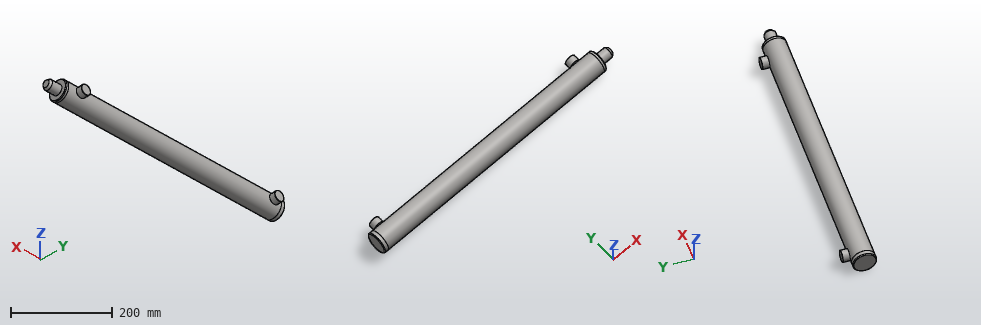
import cadquery as cq

total_length = 630.0
barrel_diameter = 50.0
total_depth = 65.0
rod_extension = 31.5
body_length = total_length - rod_extension

cap_length = 10.0
gland_length = 7.0
end_chamfer = 2.0

rod_diameter = 25.0
tip_length = 5.5
tip_inset = 4.0

port_diameter = 25.0
port_chamfer = 0.5
port_positions = [30.0, 558.0]
port_height = total_depth - barrel_diameter


def cylinder_along_x(start, length, diameter):
    return cq.Workplane("YZ", origin=(start, 0, 0)).circle(diameter / 2).extrude(length)


def make_tube():
    tube_length = body_length - cap_length - gland_length
    return cylinder_along_x(cap_length, tube_length, barrel_diameter)


def make_end_cap():
    return cylinder_along_x(0, cap_length, barrel_diameter).faces("<X").chamfer(end_chamfer)


def make_gland():
    gland_start = body_length - gland_length
    gland = cylinder_along_x(gland_start, gland_length, barrel_diameter)
    return gland.faces(">X").chamfer(end_chamfer)


def make_rod():
    radius = rod_diameter / 2
    profile = (
        cq.Workplane("XY")
        .moveTo(body_length, 0)
        .lineTo(body_length, radius)
        .lineTo(total_length - tip_length, radius)
        .lineTo(total_length, radius - tip_inset)
        .lineTo(total_length, 0)
        .close()
    )
    return profile.revolve(360, (0, 0, 0), (1, 0, 0))


def make_port(position):
    foot = (position, barrel_diameter / 2, 0)
    post = cq.Workplane("XZ", origin=foot).circle(port_diameter / 2).extrude(-port_height)
    return post.faces(">Y").chamfer(port_chamfer)


tube = make_tube()
end_cap = make_end_cap()
gland = make_gland()
rod = make_rod()
ports = [make_port(position).val() for position in port_positions]

result = cq.Compound.makeCompound([tube.val(), end_cap.val(), gland.val(), rod.val(), *ports])